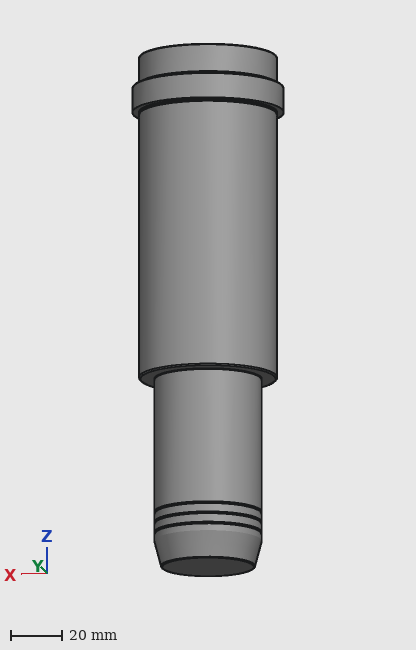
import cadquery as cq

total_length = 203.0
flange_diameter = 59.0
body_diameter = 54.0
shank_diameter = 42.0
tip_diameter = 36.5

body_bottom = 75.0
flange_bottom = 181.0
flange_thickness = 10.0
taper_length = 10.4

body_chamfer = 0.6
flange_chamfer = 0.5
top_chamfer = 0.5
tip_chamfer = 0.5

relief_width = 1.0
relief_depth = 0.5

shoulder_groove_width = 0.5
shoulder_groove_depth = 0.2

ring_groove_count = 3
ring_groove_width = 0.8
ring_groove_depth = 0.5
ring_groove_pitch = 4.0
lowest_ring_groove = 13.0

flange_top = flange_bottom + flange_thickness


def cylinder(diameter, bottom, top):
    """Solid cylinder on the Z axis between two heights."""
    return cq.Workplane("XY").workplane(offset=bottom).circle(diameter / 2).extrude(top - bottom)


def groove_cutter(outer_diameter, depth, bottom, width):
    """Ring that removes a V-shaped groove from a cylinder of the given diameter."""
    surface = outer_diameter / 2
    section = cq.Workplane("XZ").polyline([
        (surface, bottom),
        (surface - depth, bottom + width / 2),
        (surface, bottom + width),
    ]).close()
    return section.revolve(360, (0, 0, 0), (0, 1, 0))


def tapered_tip():
    """Cone frustum that narrows the shank towards its chamfered end."""
    tip = cq.Workplane("XY").circle(tip_diameter / 2)
    tip = tip.workplane(offset=taper_length).circle(shank_diameter / 2).loft(ruled=True)
    return tip.faces("<Z").edges().chamfer(tip_chamfer)


def shank():
    """Lower cylinder with its ring grooves and the fine groove under the body."""
    pin = cylinder(shank_diameter, taper_length, body_bottom)
    for index in range(ring_groove_count):
        bottom = lowest_ring_groove + index * ring_groove_pitch
        pin = pin.cut(groove_cutter(shank_diameter, ring_groove_depth, bottom, ring_groove_width))
    shoulder_groove_bottom = body_bottom - shoulder_groove_width
    return pin.cut(
        groove_cutter(shank_diameter, shoulder_groove_depth, shoulder_groove_bottom, shoulder_groove_width)
    )


def body():
    """Main cylinder, chamfered at both ends and relieved on both sides of the flange."""
    barrel = cylinder(body_diameter, body_bottom, total_length)
    barrel = barrel.faces("<Z").edges().chamfer(body_chamfer)
    barrel = barrel.faces(">Z").edges().chamfer(top_chamfer)
    for bottom in (flange_bottom - relief_width, flange_top):
        barrel = barrel.cut(groove_cutter(body_diameter, relief_depth, bottom, relief_width))
    return barrel


def flange():
    """Collar with a chamfered upper edge."""
    collar = cylinder(flange_diameter, flange_bottom, flange_top)
    return collar.faces(">Z").edges().chamfer(flange_chamfer)


result = body().union(flange()).union(shank()).union(tapered_tip())